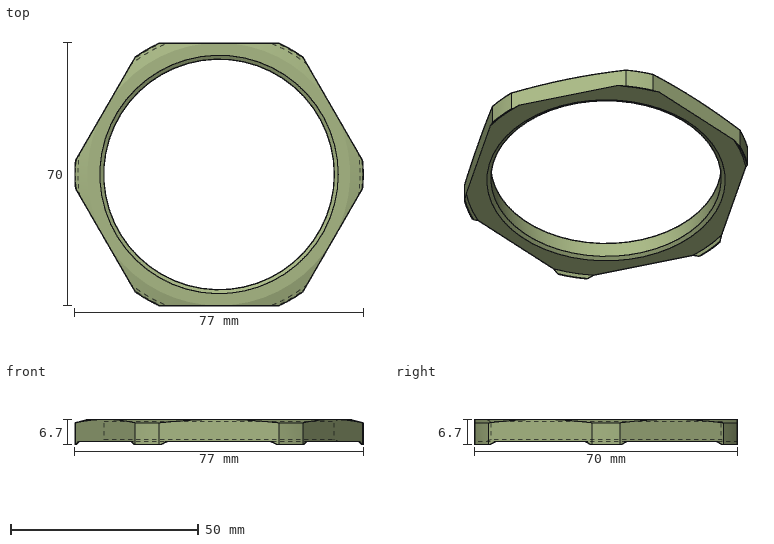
import cadquery as cq
import math

corner_diameter = 76.95
across_flats = 70.0
height = 6.7
bore_radius = 30.7

bevel_drop = 0.9

rim_chamfer_width = 1.1
rim_chamfer_depth = 0.6

recess_depth = 0.8
recess_mouth_radius = 38.25
recess_floor_radius = 37.6

corner_radius = corner_diameter / 2
flat_distance = across_flats / 2
hexagon_diameter = across_flats / math.cos(math.pi / 6)


def turned_blank():
    """Ring section with bevel, rim chamfers and underside recess, turned about Z."""
    section = [
        (bore_radius, recess_depth + rim_chamfer_depth),
        (bore_radius + rim_chamfer_width, recess_depth),
        (recess_floor_radius, recess_depth),
        (recess_mouth_radius, 0),
        (corner_radius, 0),
        (corner_radius, height - bevel_drop),
        (flat_distance, height),
        (bore_radius + rim_chamfer_width, height),
        (bore_radius, height - rim_chamfer_depth),
    ]
    return cq.Workplane("XZ").polyline(section).close().revolve(360, (0, 0, 0), (0, 1, 0))


hexagon = cq.Workplane("XY").polygon(6, hexagon_diameter).extrude(height)

result = turned_blank().intersect(hexagon)